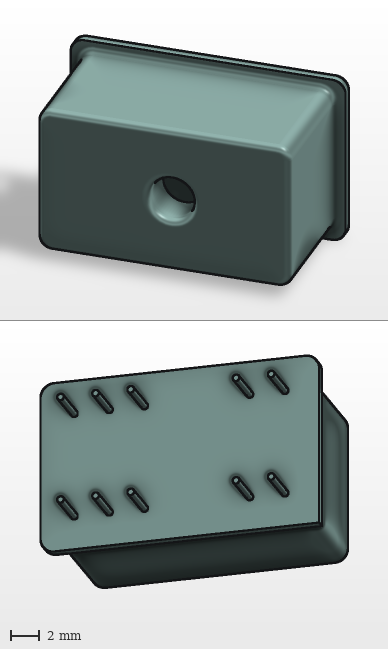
import cadquery as cq

length = 20.12
height = 12.5
flange_thickness = 0.7
flange_corner_radius = 1.0

overall_depth = 13.42
pin_length = 3.34
case_inset = 0.8
case_corner_radius = 1.0
edge_radius = 0.5

recess_radius = 1.6
recess_depth = 3.02
recess_x = 0.5

pin_diameter = 0.48
pin_pitch = 2.54
pin_columns = (-3, -2, 1, 2, 3)
pin_row_z = 1.5 * pin_pitch

front_y = -overall_depth / 2
pin_end_y = overall_depth / 2
flange_back_y = pin_end_y - pin_length
flange_front_y = flange_back_y - flange_thickness


def block(width, tall, y_front, y_back):
    """Box centred on the Y axis between two Y stations."""
    depth = y_back - y_front
    return cq.Workplane("XY").box(width, depth, tall).translate((0, (y_front + y_back) / 2, 0))


def cylinder(radius, x, z, y_start, depth):
    """Cylinder running toward +Y from y_start."""
    axis = cq.Vector(0, 1, 0)
    return cq.Workplane(obj=cq.Solid.makeCylinder(radius, depth, cq.Vector(x, y_start, z), axis))


def make_flange():
    """Plate with three rounded corners; the square one (-X, -Z) marks the orientation."""
    plate = block(length, height, flange_front_y, flange_back_y)
    return plate.edges("|Y").edges(">X or >Z").fillet(flange_corner_radius)


def make_case():
    """Closed case with rounded corners and a rounded front rim."""
    case = block(length - 2 * case_inset, height - 2 * case_inset, front_y, flange_front_y)
    case = case.edges("|Y").fillet(case_corner_radius)
    return case.faces("<Y").edges().fillet(edge_radius)


def round_case_root(body):
    """Concave fillet where the case meets the flange."""
    margin = case_inset / 2
    root = cq.selectors.BoxSelector(
        (-length / 2 + margin, flange_front_y - 0.02, -height / 2 + margin),
        (length / 2 - margin, flange_front_y + 0.02, height / 2 - margin),
    )
    return body.edges(root).fillet(edge_radius)


def cut_recess(body):
    """Blind round recess with a rounded mouth."""
    body = body.cut(cylinder(recess_radius, recess_x, 0, front_y, recess_depth))
    return body.faces("<Y").edges("%CIRCLE").edges(cq.selectors.NearestToPointSelector(
        (recess_x, front_y, 0))).fillet(edge_radius)


def add_pins(body):
    """Two mirrored rows of pins on the back of the flange."""
    for column in pin_columns:
        for z in (-pin_row_z, pin_row_z):
            pin = cylinder(pin_diameter / 2, column * pin_pitch, z, flange_front_y,
                           flange_thickness + pin_length)
            body = body.union(pin)
    return body


body = make_flange().union(make_case())
body = round_case_root(body)
body = cut_recess(body)
result = add_pins(body)